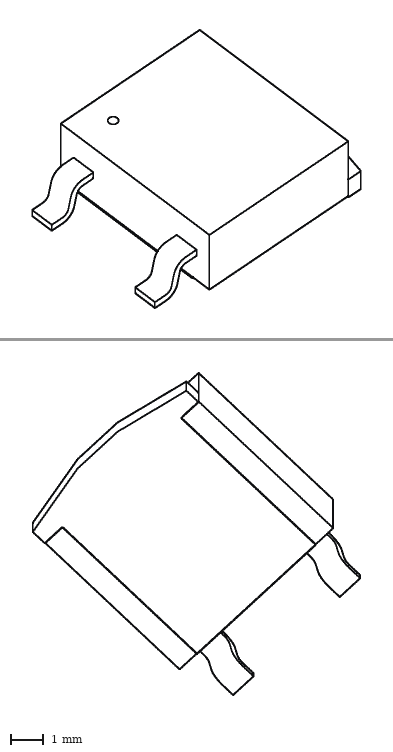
import cadquery as cq
import math


housing_width = 6.6
housing_depth = 5.85
housing_top = 2.44
standoff = 0.06
housing_front = -housing_depth / 2
housing_back = housing_depth / 2

tab_thickness = 0.78
tab_reach = 1.05
tab_tip_width = 1.72
tab_taper_depth = 0.52
pad_width = 5.1
tab_tip = housing_back + tab_reach

lead_pitch = 4.58
lead_width = 0.88
lead_thickness = 0.26
lead_reach = 1.75
lead_shoulder = 0.45
lead_foot = 0.45
lead_top = 1.38
lead_underside = standoff
bend_inner_radius = 0.25
bend_angle = math.radians(75)
bend_outer_radius = bend_inner_radius + lead_thickness

marker_diameter = 0.33
marker_depth = 0.05
marker_x = -lead_pitch / 2
marker_y = housing_front + 1.25


def make_tab():
    """Flat tab with a tapered back end, and a thin narrower pad below the housing."""
    half_width = housing_width / 2
    half_tip = tab_tip_width / 2
    taper_start = tab_tip - tab_taper_depth
    tongue = (
        cq.Workplane("XY")
        .polyline([
            (-half_width, housing_back),
            (half_width, housing_back),
            (half_width, taper_start),
            (half_tip, tab_tip),
            (-half_tip, tab_tip),
            (-half_width, taper_start),
        ])
        .close()
        .extrude(tab_thickness)
    )
    pad = (
        cq.Workplane("XY")
        .rect(pad_width, housing_depth)
        .extrude(standoff)
    )
    return tongue.union(pad)


def make_marker():
    """Disc set flush into the top of the housing."""
    return (
        cq.Workplane("XY", origin=(marker_x, marker_y, housing_top - marker_depth))
        .circle(marker_diameter / 2)
        .extrude(marker_depth)
    )


def make_housing(marker):
    """Plain block with a recess for the marker."""
    block = (
        cq.Workplane("XY", origin=(0, 0, standoff))
        .rect(housing_width, housing_depth)
        .extrude(housing_top - standoff)
    )
    return block.cut(marker)


def bend_point(center, radius, angle):
    """Point (y, z) on a bend, with the angle measured from +Z towards -Y."""
    y, z = center
    return (y - radius * math.sin(angle), z + radius * math.cos(angle))


def make_lead(x):
    """S-shaped strip: flat shoulder, two equal and opposite bends, flat foot."""
    toe = housing_front - lead_reach
    upper = (housing_front - lead_shoulder, lead_top - bend_outer_radius)
    lower = (toe + lead_foot, lead_underside + bend_outer_radius)
    half = bend_angle / 2
    turned = bend_angle + math.pi
    profile = (
        cq.Workplane("YZ", origin=(x - lead_width / 2, 0, 0))
        .moveTo(housing_front, lead_top)
        .lineTo(upper[0], lead_top)
        .threePointArc(
            bend_point(upper, bend_outer_radius, half),
            bend_point(upper, bend_outer_radius, bend_angle),
        )
        .lineTo(*bend_point(lower, bend_inner_radius, turned))
        .threePointArc(
            bend_point(lower, bend_inner_radius, half + math.pi),
            bend_point(lower, bend_inner_radius, math.pi),
        )
        .lineTo(toe, lead_underside + lead_thickness)
        .lineTo(toe, lead_underside)
        .lineTo(lower[0], lead_underside)
        .threePointArc(
            bend_point(lower, bend_outer_radius, half + math.pi),
            bend_point(lower, bend_outer_radius, turned),
        )
        .lineTo(*bend_point(upper, bend_inner_radius, bend_angle))
        .threePointArc(
            bend_point(upper, bend_inner_radius, half),
            bend_point(upper, bend_inner_radius, 0),
        )
        .lineTo(housing_front, lead_top - lead_thickness)
        .close()
    )
    return profile.extrude(lead_width)


tab = make_tab()
marker = make_marker()
housing = make_housing(marker)
leads = [make_lead(side * lead_pitch / 2) for side in (-1, 1)]

result = cq.Compound.makeCompound([
    housing.val(),
    tab.val(),
    marker.val(),
    *[lead.val() for lead in leads],
])